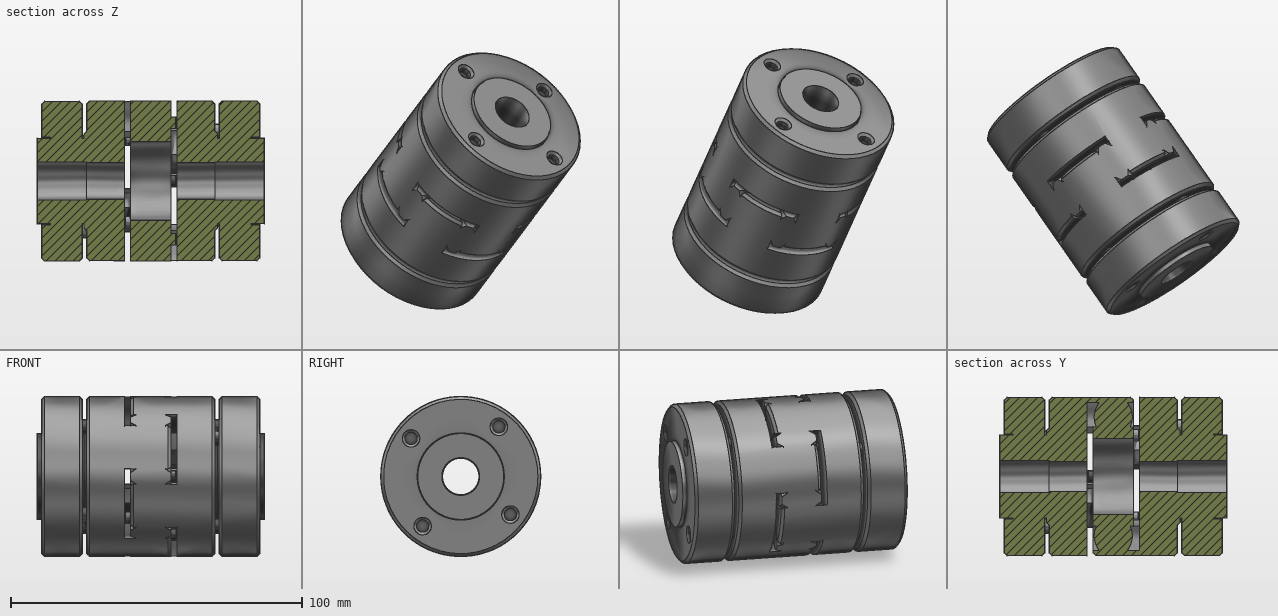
import cadquery as cq
import math


outer_radius = 55 / 2
overall_length = 78
rim_chamfer = 1.0

hub_radius = 29.5 / 2
hub_clearance_radius = 30 / 2
hub_clearance_depth = 3.0
hub_bore_radius = 13 / 2
body_bore_radius = 12.5 / 2
flange_width = 14
hub_overhang = 1.5
flange_gap = 1.5
half_length = overall_length / 2
flange_outer_x = half_length - hub_overhang
flange_inner_x = flange_outer_x - flange_width
body_end_x = flange_inner_x - flange_gap

boss_radius = 32.5 / 2
boss_height = 1.0

screw_circle_radius = 21.5
screw_radius = 5 / 2
screw_hole_radius = 4.2 / 2
screw_mouth_radius = 6 / 2
screw_hole_depth = 3.0
screw_count = 4
screw_angle = 52.5

leg_count = 8
leg_pitch = 360 / leg_count
leg_flank_radius = 14
leg_flank_center_radius = 20.4
leg_flank_center_offset = 9.5
leg_corner_length = 2.0
leg_corner_width = 1.1
jaw_count = leg_count // 2
jaw_pitch = 360 / jaw_count
jaw_inner_radius = 17.5
jaw_tip_x = 7.0
jaw_root_x = 9.0
spider_bore_radius = 27 / 2
nub_radius = 4 / 2
nub_circle_radius = 20
nub_length = 1.6


def cylinder(radius, x_start, x_end):
    """Round bar on the X axis between two positions."""
    return cq.Workplane("YZ", origin=(x_start, 0, 0)).circle(radius).extrude(x_end - x_start)


def about_x(shape, angle):
    """Turn a shape about the X axis, from +Y toward +Z."""
    return shape.rotate((0, 0, 0), (1, 0, 0), angle)


def revolve_about_x(points):
    """Ring from a closed (x, radius) outline."""
    return cq.Workplane("XY").polyline(points).close().revolve(360, (0, 0, 0), (1, 0, 0))


def jaw_ring(x_start, x_end):
    """Ring that the jaws and legs share."""
    return cylinder(outer_radius, x_start, x_end).cut(cylinder(jaw_inner_radius, x_start, x_end))


def leg(x_start, x_end, corner_width=0):
    """Leg along +Y between two rounded flanks, narrowing by corner_width per side at x_end."""
    end_flank_radius = leg_flank_radius - corner_width
    flank = revolve_about_x(
        [
            (x_start, 0),
            (x_start, leg_flank_radius),
            (x_end, end_flank_radius),
            (x_end, 0),
        ]
    )
    upper = flank.translate((0, leg_flank_center_radius, -leg_flank_center_offset))
    lower = flank.translate((0, leg_flank_center_radius, leg_flank_center_offset))
    return upper.intersect(lower).intersect(jaw_ring(x_start, x_end))


def jaw(x_start, x_end):
    """Jaw centred on +Y, filling the ring between the two legs beside it."""
    half_angle = math.radians(leg_pitch / 2)
    reach = 2 * outer_radius
    spread = reach * math.tan(half_angle)
    sector = (
        cq.Workplane("YZ", origin=(x_start, 0, 0))
        .polyline([(0, 0), (reach, spread), (reach, -spread)])
        .close()
        .extrude(x_end - x_start)
        .intersect(jaw_ring(x_start, x_end))
    )
    side_leg = leg(x_start, x_end)
    return sector.cut(about_x(side_leg, leg_pitch / 2)).cut(about_x(side_leg, -leg_pitch / 2))


def flange():
    """Chamfered +X flange with a hub set in a narrow clearance groove."""
    disc = cylinder(outer_radius, flange_inner_x, flange_outer_x).edges().chamfer(rim_chamfer)
    groove = cylinder(hub_clearance_radius, flange_outer_x - hub_clearance_depth, flange_outer_x)
    return disc.cut(groove).union(cylinder(hub_radius, body_end_x, half_length))


def end_boss():
    """Conical boss on the +X end of the body."""
    boss_end_x = body_end_x + boss_height
    return revolve_about_x(
        [
            (body_end_x, 0),
            (body_end_x, boss_radius + boss_height),
            (boss_end_x, boss_radius),
            (boss_end_x, 0),
        ]
    )


def screws():
    """Screw shanks bridging the +X gap."""
    return (
        cq.Workplane("YZ", origin=(body_end_x, 0, 0))
        .polarArray(screw_circle_radius, screw_angle, 360, screw_count)
        .circle(screw_radius)
        .extrude(flange_gap)
    )


def screw_holes():
    """Countersunk blind holes in the +X flange."""
    countersink_depth = screw_mouth_radius - screw_hole_radius
    hole = revolve_about_x(
        [
            (flange_outer_x - screw_hole_depth, 0),
            (flange_outer_x - screw_hole_depth, screw_hole_radius),
            (flange_outer_x - countersink_depth, screw_hole_radius),
            (flange_outer_x, screw_mouth_radius),
            (flange_outer_x, 0),
        ]
    ).translate((0, screw_circle_radius, 0))
    holes = cq.Workplane("YZ")
    for index in range(screw_count):
        holes = holes.add(about_x(hole, screw_angle + index * 360 / screw_count))
    return holes.combine()


def tip_gap(tip_angle):
    """Open space at +X between the jaw tips at tip_angle and the roots of the other jaws."""
    gap = cylinder(outer_radius, jaw_tip_x, jaw_root_x)
    tip_chamfer = revolve_about_x(
        [
            (jaw_tip_x, outer_radius - rim_chamfer),
            (jaw_tip_x, outer_radius),
            (jaw_tip_x - rim_chamfer, outer_radius),
        ]
    )
    root = jaw(jaw_tip_x, jaw_root_x)
    chamfer = tip_chamfer.intersect(jaw(jaw_tip_x - rim_chamfer, jaw_tip_x))
    for index in range(jaw_count):
        angle = tip_angle + index * jaw_pitch
        gap = gap.cut(about_x(root, angle + leg_pitch))
        gap = gap.union(about_x(chamfer, angle))
    return gap


def leg_corners():
    """Sloped corners removed along both flanks at the +X ends of the spider legs."""
    corner_start_x = jaw_tip_x - leg_corner_length
    pair = leg(corner_start_x, jaw_tip_x).cut(leg(corner_start_x, jaw_tip_x, leg_corner_width))
    corners = cq.Workplane("YZ")
    for index in range(leg_count):
        corners = corners.add(about_x(pair, index * leg_pitch))
    return corners.combine()


def nubs(first_angle):
    """Round spacers standing on every second leg at its +X end."""
    return (
        cq.Workplane("YZ", origin=(jaw_tip_x, 0, 0))
        .polarArray(nub_circle_radius, first_angle, 360, jaw_count)
        .circle(nub_radius)
        .extrude(nub_length)
    )


def to_other_end(shape):
    """Turn a +X end feature half a turn about Z to the -X end."""
    return shape.rotate((0, 0, 0), (0, 0, 1), 180)


def bore():
    """Shaft bore through the whole length, slightly narrower inside the body."""
    body_bore = cylinder(body_bore_radius, -body_end_x, body_end_x)
    hub_bore = cylinder(hub_bore_radius, body_end_x, half_length)
    return body_bore.union(hub_bore).union(to_other_end(hub_bore))


body = cylinder(outer_radius, -body_end_x, body_end_x).edges().chamfer(rim_chamfer)
body = body.cut(cylinder(spider_bore_radius, -jaw_root_x, jaw_root_x))

gap = tip_gap(1.5 * leg_pitch)
corners = leg_corners()
body = body.cut(gap.cut(nubs(0))).cut(corners)
body = body.cut(to_other_end(gap.cut(nubs(leg_pitch)))).cut(to_other_end(corners))

end = flange().union(end_boss()).union(screws()).cut(screw_holes())
result = body.union(end).union(to_other_end(end)).cut(bore())